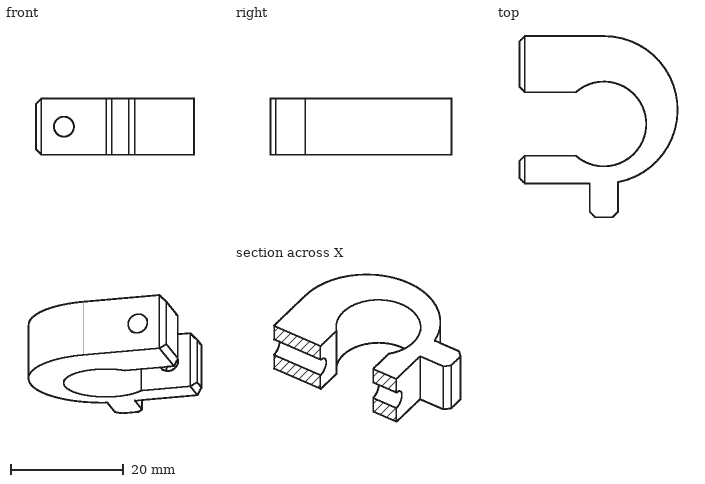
import cadquery as cq

length = 28.1
overall_depth = 32.18
thickness = 10.0

tab_projection = 6.0
body_depth = overall_depth - tab_projection
outer_radius = body_depth / 2
arm_reach = length - outer_radius
bore_diameter = 15.0

upper_arm = 10.0
lower_arm = 5.0
mouth = body_depth - upper_arm - lower_arm

body_bottom = -mouth / 2 - lower_arm
body_top = mouth / 2 + upper_arm
outer_center_y = (body_bottom + body_top) / 2

tab_width = 5.02
end_chamfer = 1.0
arm_hole_diameter = 3.5
hole_from_end = 5.0


def make_box(x_min, x_max, y_min, y_max):
    """Full-thickness block between the given X and Y limits."""
    size_x = x_max - x_min
    size_y = y_max - y_min
    block = cq.Workplane("XY").box(size_x, size_y, thickness, centered=False)
    return block.translate((x_min, y_min, 0))


def make_body():
    """Round-backed block opened by the bore and mouth, with chamfered arm ends."""
    body = (
        cq.Workplane("XY")
        .moveTo(-arm_reach, body_bottom)
        .lineTo(0, body_bottom)
        .threePointArc((outer_radius, outer_center_y), (0, body_top))
        .lineTo(-arm_reach, body_top)
        .close()
        .extrude(thickness)
    )
    bore = cq.Workplane("XY").circle(bore_diameter / 2).extrude(thickness)
    body = body.cut(bore).cut(make_box(-arm_reach, 0, -mouth / 2, mouth / 2))
    return body.faces("<X").edges().chamfer(end_chamfer)


def make_tab():
    """Locating tab, rooted inside the wall, with its two free corners chamfered."""
    root_y = body_bottom + lower_arm / 2
    tab = make_box(-tab_width / 2, tab_width / 2, body_bottom - tab_projection, root_y)
    return tab.faces("<Y").edges("|Z").chamfer(end_chamfer)


def make_arm_hole():
    """Cylinder along +Y that crosses both arms on one axis."""
    axis_start = cq.Vector(-arm_reach + hole_from_end, body_bottom, thickness / 2)
    return cq.Solid.makeCylinder(arm_hole_diameter / 2, body_depth, axis_start, cq.Vector(0, 1, 0))


result = make_body().union(make_tab()).cut(make_arm_hole())